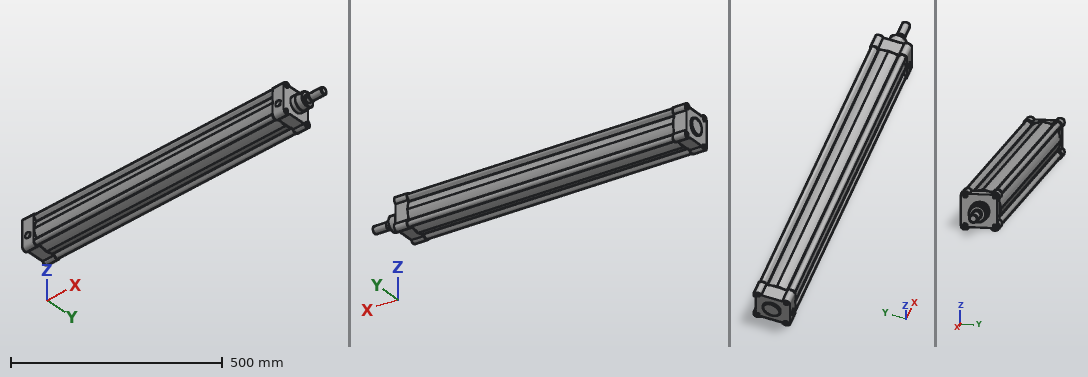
import cadquery as cq
import math

LENGTH = 919.0

CAP_WIDTH = 93.0
CAP_HALF = CAP_WIDTH / 2
CAP_LENGTH = 36.0
CORNER_CENTER = 36.0
CORNER_RADIUS = CAP_HALF - CORNER_CENTER
RECESS_HALF = 40.0
BOLT_HOLE_DIAMETER = 9.0
BOLT_HOLE_DEPTH = 15.0
PORT_DIAMETER = 16.5
PORT_DEPTH = 14.0
PORT_Z = -12.0

BOSS_DIAMETER = 45.0
BOSS_RADIUS = BOSS_DIAMETER / 2
BOSS_CHAMFER = 2.0
REAR_BOSS_LENGTH = 4.0
FRONT_BOSS_LENGTH = 14.0
COLLAR_RADIUS = 21.0
COLLAR_LENGTH = 21.0
COLLAR_CHAMFER = 2.0

REAR_CAP_START = REAR_BOSS_LENGTH
REAR_CAP_END = REAR_CAP_START + CAP_LENGTH
FRONT_CAP_END = 832.0
FRONT_CAP_START = FRONT_CAP_END - CAP_LENGTH
FRONT_BOSS_END = FRONT_CAP_END + FRONT_BOSS_LENGTH
COLLAR_END = FRONT_BOSS_END + COLLAR_LENGTH

RIDGE_HEIGHT = 44.0
RIDGE_WIDTH = 19.0
RIDGE_HALF_WIDTH = RIDGE_WIDTH / 2
TUBE_RADIUS = 43.0
GROOVE_FLOOR = 36.0
RAIL_CENTER = 37.0
RAIL_RADIUS = 7.0

SHANK_RADIUS = 11.0
SHANK_END_X = 880.0
FLAT_DISTANCE = 10.0
FLATS_START_X = 870.0
STUD_RADIUS = 10.0
STUD_CHAMFER = 1.65


def section(x):
    """Workplane across the axis at X = x; its local axes are Y and Z."""
    return cq.Workplane("YZ", origin=(x, 0, 0))


def turned(x_start, x_end, radius):
    """Cylinder on the axis from x_start to x_end."""
    return section(x_start).circle(radius).extrude(x_end - x_start)


def quarter_turned(point, quarters):
    """Point turned clockwise about the axis by a number of quarter turns."""
    y, z = point
    for _ in range(quarters):
        y, z = z, -y
    return (y, z)


def swapped(point):
    """Point mirrored in the 45 degree line Y = Z."""
    return (point[1], point[0])


def make_barrel():
    """Extruded barrel: four alike sides, with a ridge along each middle and a rail in each corner."""
    ridge_top = (0, RIDGE_HEIGHT)
    ridge_foot = (RIDGE_HALF_WIDTH, math.sqrt(TUBE_RADIUS**2 - RIDGE_HALF_WIDTH**2))
    tube_edge = (math.sqrt(TUBE_RADIUS**2 - GROOVE_FLOOR**2), GROOVE_FLOOR)
    tube_middle_angle = (math.atan2(*ridge_foot) + math.atan2(*tube_edge)) / 2
    tube_middle = (TUBE_RADIUS * math.sin(tube_middle_angle), TUBE_RADIUS * math.cos(tube_middle_angle))
    rail_offset = RAIL_RADIUS * math.sqrt(0.5)
    wall_top = (RAIL_CENTER - rail_offset, RAIL_CENTER + rail_offset)
    wall_foot = (wall_top[0] - (wall_top[1] - GROOVE_FLOOR), GROOVE_FLOOR)
    rail_tip = (RAIL_CENTER + rail_offset, RAIL_CENTER + rail_offset)

    profile = section(REAR_CAP_END).moveTo(*ridge_top)
    for quarter in range(4):
        profile = (
            profile.lineTo(*quarter_turned(ridge_foot, quarter))
            .threePointArc(quarter_turned(tube_middle, quarter), quarter_turned(tube_edge, quarter))
            .lineTo(*quarter_turned(wall_foot, quarter))
            .lineTo(*quarter_turned(wall_top, quarter))
            .threePointArc(quarter_turned(rail_tip, quarter), quarter_turned(swapped(wall_top), quarter))
            .lineTo(*quarter_turned(swapped(wall_foot), quarter))
            .lineTo(*quarter_turned(swapped(tube_edge), quarter))
            .threePointArc(
                quarter_turned(swapped(tube_middle), quarter),
                quarter_turned(swapped(ridge_foot), quarter),
            )
        )
        if quarter < 3:
            profile = profile.lineTo(*quarter_turned(ridge_top, quarter + 1))
    return profile.close().extrude(FRONT_CAP_START - REAR_CAP_END)


def make_cap_block(x_start):
    """Cap with rounded corner lobes; -Y is flat and the other three sides are recessed."""
    core_width = RECESS_HALF + CAP_HALF
    core_y = (RECESS_HALF - CAP_HALF) / 2
    corners = [(y, z) for y in (-CORNER_CENTER, CORNER_CENTER) for z in (-CORNER_CENTER, CORNER_CENTER)]
    plate = section(x_start)
    lobes = plate.pushPoints(corners).circle(CORNER_RADIUS).extrude(CAP_LENGTH)
    port_side = plate.center(core_y, 0).rect(core_width, 2 * CORNER_CENTER).extrude(CAP_LENGTH)
    between_lobes = section(x_start).rect(2 * CORNER_CENTER, 2 * RECESS_HALF).extrude(CAP_LENGTH)
    block = port_side.union(between_lobes).union(lobes)

    port_plane = cq.Workplane("XZ", origin=(x_start + CAP_LENGTH / 2, -CAP_HALF, PORT_Z))
    return block.cut(port_plane.circle(PORT_DIAMETER / 2).extrude(-PORT_DEPTH))


def bolt_holes(x_start):
    """Four blind holes' volume, one in each corner, going towards +X from x_start."""
    spacing = 2 * CORNER_CENTER
    return (
        section(x_start)
        .rect(spacing, spacing, forConstruction=True)
        .vertices()
        .circle(BOLT_HOLE_DIAMETER / 2)
        .extrude(BOLT_HOLE_DEPTH)
    )


def make_rear_cap():
    boss = turned(0, REAR_CAP_START, BOSS_RADIUS).faces("<X").chamfer(BOSS_CHAMFER)
    return make_cap_block(REAR_CAP_START).union(boss).cut(bolt_holes(REAR_CAP_START))


def make_front_cap():
    boss = turned(FRONT_CAP_END, FRONT_BOSS_END, BOSS_RADIUS)
    collar = turned(FRONT_BOSS_END, COLLAR_END, COLLAR_RADIUS).faces(">X").chamfer(COLLAR_CHAMFER)
    holes = bolt_holes(FRONT_CAP_END - BOLT_HOLE_DEPTH)
    return make_cap_block(FRONT_CAP_START).union(boss).union(collar).cut(holes)


def make_rod():
    """Rod end with two wrench flats, chamfered down to a smooth stud for the thread."""
    shank = turned(COLLAR_END, SHANK_END_X, SHANK_RADIUS).faces(">X").chamfer(SHANK_RADIUS - STUD_RADIUS)
    flats_length = SHANK_END_X - FLATS_START_X
    flats_height = 2 * SHANK_RADIUS
    around_flats = section(FLATS_START_X).rect(2 * SHANK_RADIUS, flats_height).extrude(flats_length)
    between_flats = section(FLATS_START_X).rect(2 * FLAT_DISTANCE, flats_height).extrude(flats_length)
    stud = turned(SHANK_END_X, LENGTH, STUD_RADIUS).faces(">X").chamfer(STUD_CHAMFER)
    return shank.cut(around_flats.cut(between_flats)).union(stud)


barrel = make_barrel()
rear_cap = make_rear_cap()
front_cap = make_front_cap()
rod = make_rod()

result = cq.Compound.makeCompound([barrel.val(), rear_cap.val(), front_cap.val(), rod.val()])